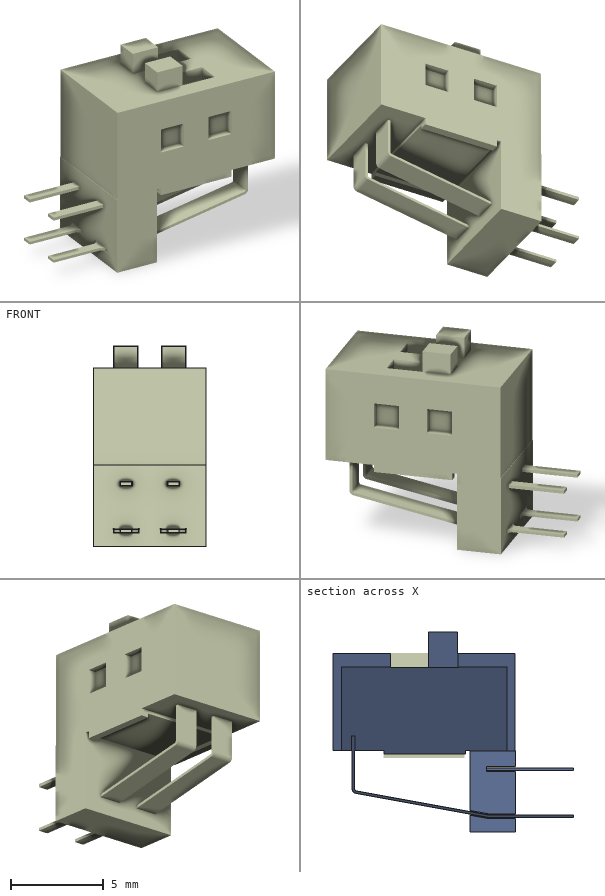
import cadquery as cq
import math


width = 6.08
pin_reach = 3.12
total_length = 13.0
body_back = total_length - pin_reach
pitch = 2.55
positions = (-pitch / 2, pitch / 2)

base_depth = 2.48
base_height = 4.4

housing_front = 0.02
housing_top = 9.65
wall = 0.47
roof = 0.74
housing_middle = (housing_front + body_back) / 2
cavity_top = housing_top - roof

skirt_length = 4.4
skirt_drop = 0.4
window_length = 1.42
window_height = 1.39
window_bottom = 6.56
window_offset = (skirt_length - window_length) / 2

boss_front_lead = 0.04
boss_drop = 0.18

slot_width = 1.36
slot_length = 3.6
slider_width = 1.31
slider_length = 1.59
slider_top = 10.83

pin_clearance = 0.032

pin_width = 0.6
upper_pin_thickness = 0.18
upper_pin_height = 3.39
upper_pin_embed = 1.56

strip_width = 1.33
strip_thickness = 0.15
lower_pin_height = 0.85
riser_y = 8.78
riser_embed = 0.78
slope_start_y = 1.43
slope_angle = math.radians(10.3)
bend_inner_radius = 0.1
shoulder_front = -0.18


def box(x_mid, x_size, y_start, y_end, z_start, z_end):
    """Box centred on x_mid and spanning the given Y and Z ranges."""
    return (
        cq.Workplane("XY", origin=(x_mid, (y_start + y_end) / 2, z_start))
        .rect(x_size, y_end - y_start)
        .extrude(z_end - z_start)
    )


def full_width_strip(x_mid, gap=0.0):
    """Bent strip of constant width, from pin tip to insert, grown by gap on all its long faces."""
    half = strip_thickness / 2 + gap
    slope = math.tan(slope_angle)
    low_miter = half * math.tan(slope_angle / 2)
    corner_z = lower_pin_height + (riser_y - slope_start_y) * slope
    high_miter = half * (1 / math.cos(slope_angle) - slope)
    outline = [
        (-pin_reach, lower_pin_height - half),
        (slope_start_y + low_miter, lower_pin_height - half),
        (riser_y + half, corner_z - high_miter),
        (riser_y + half, base_height + riser_embed),
        (riser_y - half, base_height + riser_embed),
        (riser_y - half, corner_z + high_miter),
        (slope_start_y - low_miter, lower_pin_height + half),
        (-pin_reach, lower_pin_height + half),
    ]
    strip = (
        cq.Workplane("YZ", origin=(x_mid, 0, 0))
        .polyline(outline)
        .close()
        .extrude(strip_width / 2 + gap, both=True)
    )
    inner_corner = (x_mid, riser_y - half, corner_z + high_miter)
    outer_corner = (x_mid, riser_y + half, corner_z - high_miter)
    strip = strip.edges(cq.NearestToPointSelector(inner_corner)).fillet(bend_inner_radius)
    return strip.edges(cq.NearestToPointSelector(outer_corner)).fillet(bend_inner_radius + 2 * half)


def make_lower_pin(x_mid):
    """Strip narrowed to a pin in front by two 45 degree shoulders."""
    tail = pin_width / 2
    wide = strip_width / 2
    shoulder_back = shoulder_front + wide - tail
    plan = [
        (-tail, -pin_reach),
        (tail, -pin_reach),
        (tail, shoulder_front),
        (wide, shoulder_back),
        (wide, body_back),
        (-wide, body_back),
        (-wide, shoulder_back),
        (-tail, shoulder_front),
    ]
    plan_prism = (
        cq.Workplane("XY", origin=(x_mid, 0, 0))
        .polyline(plan)
        .close()
        .extrude(housing_top)
    )
    return full_width_strip(x_mid).intersect(plan_prism)


def make_upper_pin(x_mid, gap=0.0):
    """Straight flat pin, grown by gap on all its long faces."""
    half = upper_pin_thickness / 2 + gap
    return box(
        x_mid,
        pin_width + 2 * gap,
        -pin_reach,
        upper_pin_embed,
        upper_pin_height - half,
        upper_pin_height + half,
    )


def make_base():
    """Block with a socket for each upper pin and a slot for each lower strip."""
    base = box(0, width, 0, base_depth, 0, base_height)
    for x_mid in positions:
        base = base.cut(make_upper_pin(x_mid, pin_clearance))
        base = base.cut(full_width_strip(x_mid, pin_clearance))
    return base


def make_housing():
    """Open-bottomed shell with side skirts, side windows and roof slots."""
    housing = box(0, width, housing_front, body_back, base_height, housing_top)

    skirt_front = housing_middle - skirt_length / 2
    skirt_back = housing_middle + skirt_length / 2
    for side in (-1, 1):
        skirt = box(
            side * (width - wall) / 2, wall, skirt_front, skirt_back, base_height - skirt_drop, base_height
        )
        housing = housing.union(skirt)

    cavity = box(
        0, width - 2 * wall, housing_front + wall, body_back - wall, base_height, cavity_top
    )
    housing = housing.cut(cavity)

    for y_mid in (housing_middle - window_offset, housing_middle + window_offset):
        window = box(
            0,
            width,
            y_mid - window_length / 2,
            y_mid + window_length / 2,
            window_bottom,
            window_bottom + window_height,
        )
        housing = housing.cut(window)

    for x_mid in positions:
        slot = box(
            x_mid,
            slot_width,
            housing_middle - slot_length / 2,
            housing_middle + slot_length / 2,
            cavity_top,
            housing_top,
        )
        housing = housing.cut(slot)
    return housing


def make_insert():
    """Core filling the housing cavity, with a boss below and recesses for the strips."""
    inner_width = width - 2 * wall
    insert = box(0, inner_width, housing_front + wall, body_back - wall, base_height, cavity_top)
    boss = box(
        0,
        inner_width,
        housing_middle - skirt_length / 2 - boss_front_lead,
        housing_middle + skirt_length / 2,
        base_height - boss_drop,
        base_height,
    )
    insert = insert.union(boss)
    for x_mid in positions:
        insert = insert.cut(full_width_strip(x_mid))
    return insert


def make_slider(x_mid):
    """Slider at the front end of its slot, against the outer side wall of the slot."""
    outward = math.copysign((slot_width - slider_width) / 2, x_mid)
    front = housing_middle - slot_length / 2
    return box(x_mid + outward, slider_width, front, front + slider_length, cavity_top, slider_top)


base = make_base()
housing = make_housing()
insert = make_insert()
sliders = [make_slider(x_mid) for x_mid in positions]
upper_pins = [make_upper_pin(x_mid) for x_mid in positions]
lower_pins = [make_lower_pin(x_mid) for x_mid in positions]

repeated = sliders + upper_pins + lower_pins
result = cq.Compound.makeCompound(
    [base.val(), housing.val(), insert.val(), *[body.val() for body in repeated]]
)